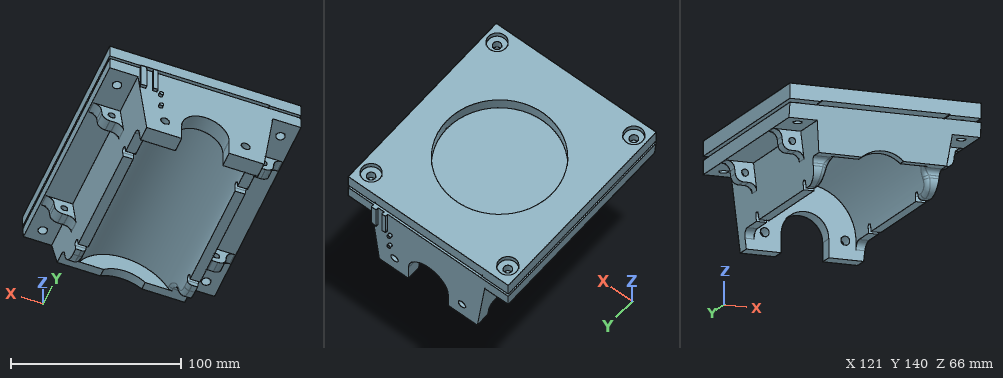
import cadquery as cq
import math

width = 121.0
depth = 138.0
total_height = 66.0
overall_depth = 140
marks_height = overall_depth - depth

lid_bottom = 56.6
relief_half_width = 40.6
relief_depth = 0.5
window_diameter = 80.1
window_y = 71.5
window_depth = 8.5

screw_diameter = 5.5
screw_head_diameter = 13.0
screw_head_depth = 3.5
screw_x = 51.7
screw_front_y = 10.1
screw_back_y = 127.5

plate_top = 54.2
plate_bottom = 45.4
ledge_height = 26.7
ledge_front_y = 4.6
ledge_back_y = 15.1
rail_bottom = 11.6
back_wall = 10.0
back_inner_y = depth - back_wall
front_wall = 10.0
foot_half_width = 37.1
side_angle = 7
side_slope = math.tan(math.radians(side_angle))
ledge_radius = 3.5
rail_front_radius = 10.0
foot_radius = 5.0

bore_axis_height = 11.6
channel_radius = 32.2
front_opening_radius = 20.0
back_opening_radius = 15.0
mouth_radius = 3.0

foot_hole_diameter = 5.5
foot_hole_x = 25.5
foot_hole_height = 11.5
station_y = (31.4, 106.4)
slot_width = 3.9
slot_top = 16.8
lug_thickness = 7.4
lug_bottom = 33.2
lug_reach = 12.5
lug_radius = 5.0
lug_hole_diameter = 4.2
lug_hole_x = 48.0
lug_hole_height = 38.9

pip_diameter = 2.5
pip_x = 28.4
pip_heights = (23.7, 34.2)
bar_bottom = 36.5
bars = ((32.0, 2.8), (39.6, 3.6))


def side_x(z):
    """Half width of the sloping sides at height z."""
    return foot_half_width + side_slope * z


def arch(radius, y_start, y_end):
    """Round-topped tunnel along Y, open at the bottom, on the common bore axis."""
    return (
        cq.Workplane("XZ", origin=(0, y_start, 0))
        .moveTo(-radius, 0)
        .lineTo(-radius, bore_axis_height)
        .threePointArc((0, bore_axis_height + radius), (radius, bore_axis_height))
        .lineTo(radius, 0)
        .close()
        .extrude(y_start - y_end)
    )


def screw_points():
    return [(x, y) for x in (-screw_x, screw_x) for y in (screw_front_y, screw_back_y)]


def make_lid():
    thickness = total_height - lid_bottom
    lid = cq.Workplane("XY", origin=(0, depth / 2, lid_bottom)).box(
        width, depth, thickness, centered=(True, True, False)
    )
    relief = cq.Workplane("XY", origin=(0, depth / 2, lid_bottom)).box(
        2 * relief_half_width, depth, relief_depth, centered=(True, True, False)
    )
    window = (
        cq.Workplane("XY", origin=(0, window_y, total_height))
        .circle(window_diameter / 2)
        .extrude(-window_depth)
    )
    lid = lid.cut(relief).cut(window)
    return (
        lid.copyWorkplane(cq.Workplane("XY", origin=(0, 0, total_height)))
        .pushPoints(screw_points())
        .cboreHole(screw_diameter, screw_head_diameter, screw_head_depth)
    )


def make_shell():
    """Plate and tapered hull, with the side outline cut through and the corners rounded."""
    side_outline = (
        cq.Workplane("YZ")
        .polyline([
            (0, plate_top),
            (ledge_front_y, ledge_height),
            (ledge_back_y, ledge_height),
            (ledge_back_y, rail_bottom),
            (back_inner_y, rail_bottom),
            (back_inner_y, 0),
            (depth, 0),
            (depth, plate_top),
        ])
        .close()
        .extrude(width / 2, both=True)
    )
    for y, z, radius in (
        (ledge_back_y, ledge_height, ledge_radius),
        (ledge_back_y, rail_bottom, rail_front_radius),
        (back_inner_y, rail_bottom, foot_radius),
    ):
        corner = cq.selectors.NearestToPointSelector((0, y, z))
        side_outline = side_outline.edges("|X").edges(corner).fillet(radius)
    cross_section = (
        cq.Workplane("XZ")
        .polyline([
            (-foot_half_width, 0),
            (foot_half_width, 0),
            (side_x(plate_bottom), plate_bottom),
            (width / 2, plate_bottom),
            (width / 2, plate_top),
            (-width / 2, plate_top),
            (-width / 2, plate_bottom),
            (-side_x(plate_bottom), plate_bottom),
        ])
        .close()
        .extrude(-depth)
    )
    return side_outline.intersect(cross_section)


def cut_channel(shell):
    """Main channel and rail slots; the rounding of the channel mouth runs back to the front slots."""
    shell = shell.cut(arch(channel_radius, front_wall, back_inner_y))
    for y in station_y:
        slot = (
            cq.Workplane("YZ", origin=(0, y, 0))
            .moveTo(-slot_width / 2, 0)
            .lineTo(-slot_width / 2, slot_top - slot_width / 2)
            .threePointArc((0, slot_top), (slot_width / 2, slot_top - slot_width / 2))
            .lineTo(slot_width / 2, 0)
            .close()
            .extrude(width / 2, both=True)
        )
        shell = shell.cut(slot)
    half_ledge = (ledge_height - rail_bottom) / 2
    mouth_edges = cq.selectors.BoxSelector(
        (-channel_radius, ledge_back_y - ledge_radius / 2, rail_bottom + half_ledge),
        (channel_radius, ledge_back_y + ledge_radius / 2, ledge_height),
    )
    return shell.edges(mouth_edges).fillet(mouth_radius)


def cut_end_walls(housing):
    """Round-topped openings in both end walls, and the holes through the foot."""
    housing = housing.cut(arch(front_opening_radius, 0, front_wall))
    housing = housing.cut(arch(back_opening_radius, back_inner_y, depth))
    foot_holes = (
        cq.Workplane("XZ", origin=(0, back_inner_y, foot_hole_height))
        .pushPoints([(-foot_hole_x, 0), (foot_hole_x, 0)])
        .circle(foot_hole_diameter / 2)
        .extrude(-back_wall)
    )
    return housing.cut(foot_holes)


def add_lug(housing, side, y):
    """Drilled lug on one side (-1 or 1), blended into the plate above and the sloping wall below."""
    top_x = side_x(plate_bottom) + lug_reach
    bottom_x = side_x(lug_bottom) + lug_reach
    root_x = side_x(lug_bottom)
    front_y = y - lug_thickness / 2
    lug = (
        cq.Workplane("XZ", origin=(0, front_y, 0))
        .polyline([
            (side * top_x, plate_bottom),
            (side * bottom_x, lug_bottom),
            (side * root_x, lug_bottom),
            (side * side_x(plate_bottom), plate_bottom),
        ])
        .close()
        .extrude(-lug_thickness)
    )
    housing = housing.union(lug)
    for x, z in ((top_x, plate_bottom), (bottom_x, lug_bottom), (root_x, lug_bottom)):
        corner = cq.selectors.NearestToPointSelector((side * x, y, z))
        housing = housing.edges("|Y").edges(corner).fillet(lug_radius)
    hole = (
        cq.Workplane("XZ", origin=(side * lug_hole_x, front_y, lug_hole_height))
        .circle(lug_hole_diameter / 2)
        .extrude(-lug_thickness)
    )
    return housing.cut(hole)


def add_back_marks(housing):
    """Two round pips and two upright bars standing out of the back wall."""
    for z in pip_heights:
        pip = cq.Workplane("XZ", origin=(pip_x, depth, z)).circle(pip_diameter / 2).extrude(-marks_height)
        housing = housing.union(pip)
    for x, bar_width in bars:
        bar = cq.Workplane("XY", origin=(x, depth, bar_bottom)).box(
            bar_width, marks_height, plate_top - bar_bottom, centered=(True, False, False)
        )
        housing = housing.union(bar)
    return housing


def make_housing():
    housing = cut_end_walls(cut_channel(make_shell()))
    for side in (-1, 1):
        for y in station_y:
            housing = add_lug(housing, side, y)
    screw_holes = (
        cq.Workplane("XY", origin=(0, 0, plate_bottom))
        .pushPoints(screw_points())
        .circle(screw_diameter / 2)
        .extrude(plate_top - plate_bottom)
    )
    return add_back_marks(housing.cut(screw_holes))


lid = make_lid()
housing = make_housing()
result = cq.Compound.makeCompound([lid.val(), housing.val()])